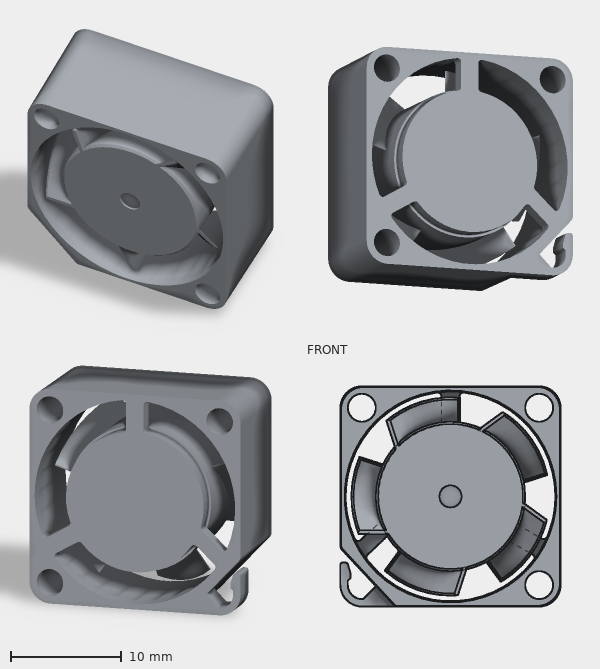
import cadquery as cq
import math

depth = 10.0
half_width = 9.95
draft_angle = 0.5
corner_radius = 2.0
cut_side_z = -4.65
cut_bottom_x = -5.0
cut_round = 0.6
hole_offset = 8.0
hole_radius = 1.25
bore_front_radius = 9.57
bore_back_radius = 9.45

base_radius = 6.5
base_thickness = 1.5
radial_strut_width = 1.65
radial_strut_angles = [90, -30]
skew_strut_width = 1.4
skew_strut_angle = 223.5
skew_strut_offset = 2.03
strut_fillet = 0.35

hook_depth = 2.55
hook_top_z = -5.95
hook_tip_width = 0.65
hook_tip_round = 0.25
hook_nose_x = -9.0
hook_nose_top_z = -6.95
hook_nose_bottom_z = -7.35
hook_floor_offset = 0.97
hook_floor_length = 1.8
hook_root_overlap = 0.06

hub_front = 0.7
hub_radius = 6.74
hub_chamfer = 0.2
dimple_radius = 1.0
dimple_depth = 0.2
blade_count = 5
blade_tip_radius = 8.95
blade_root_radius = 4.0
blade_back = 6.05
blade_thickness = 0.35
leading_angle = 108.0
leading_offset = 3.4
trailing_x = 0.87
trailing_bevel_width = 0.23
trailing_bevel_depth = 0.33
trailing_overhang = 0.22
tip_edge_middle = (-2.43, 3.28, 8.39)
tip_bevel_face = 0.2
tip_bevel_end = 0.12

base_front = depth - base_thickness
strut_end = (bore_back_radius + half_width) / 2
clearance = 1.0
diagonal = math.sqrt(0.5)


def plane_at(y):
    """Plane facing -Y at the given Y; its local axes are X and Z."""
    return cq.Workplane("XZ", origin=(0, y, 0))


def cylinder(radius, front, back):
    """Cylinder on the fan axis between two Y positions."""
    return plane_at(back).circle(radius).extrude(back - front)


def turned(body, angle):
    """Body turned about the fan axis, from +X towards +Z."""
    return body.rotate((0, 0, 0), (0, 1, 0), -angle)


def nearest(x, y, z):
    """Selector for the item whose centre lies closest to a point."""
    return cq.selectors.NearestToPointSelector((x, y, z))


def make_shell():
    """Drafted square block with one corner cut off, bored through for the rotor."""
    full_corners = [(-half_width, half_width), (half_width, half_width), (half_width, -half_width)]
    cut_corners = [(cut_bottom_x, -half_width), (-half_width, cut_side_z)]
    block = plane_at(depth).polyline(full_corners + cut_corners).close().extrude(depth, taper=draft_angle)
    for x, z in full_corners:
        block = block.edges(nearest(x, depth / 2, z)).fillet(corner_radius)
    block = block.edges(nearest(-half_width, depth / 2, cut_side_z)).fillet(cut_round)

    bore = (
        plane_at(depth)
        .circle(bore_back_radius)
        .workplane(offset=depth)
        .circle(bore_front_radius)
        .loft(ruled=True)
    )
    hole_centres = [(-hole_offset, hole_offset), (hole_offset, hole_offset), (hole_offset, -hole_offset)]
    holes = plane_at(depth).pushPoints(hole_centres).circle(hole_radius).extrude(depth)
    return block.cut(bore).cut(holes)


def make_hook():
    """Curved finger left around the fourth screw hole, at the strut face."""
    corner_centre = -half_width + corner_radius
    corner_middle = corner_centre - corner_radius * diagonal
    wall_x = -hole_offset - hole_radius
    hole_middle = -hole_offset - hole_radius * diagonal
    half_chord = math.sqrt(hole_radius**2 - hook_floor_offset**2)
    floor_x = -hole_offset + (hook_floor_offset - half_chord) * diagonal
    floor_z = -hole_offset - (hook_floor_offset + half_chord) * diagonal
    floor_rise = hook_floor_length * diagonal

    hook = (
        plane_at(depth)
        .moveTo(-half_width, hook_top_z)
        .lineTo(-half_width, corner_centre)
        .threePointArc((corner_middle, corner_middle), (corner_centre, -half_width))
        .lineTo(cut_bottom_x + hook_root_overlap, -half_width)
        .lineTo(floor_x + floor_rise, floor_z + floor_rise)
        .lineTo(floor_x, floor_z)
        .threePointArc((hole_middle, hole_middle), (wall_x, -hole_offset))
        .lineTo(wall_x, hook_nose_bottom_z + wall_x - hook_nose_x)
        .lineTo(hook_nose_x, hook_nose_bottom_z)
        .lineTo(hook_nose_x, hook_nose_top_z)
        .lineTo(-half_width + hook_tip_width, hook_top_z)
        .close()
        .extrude(hook_depth)
    )
    hook_middle = depth - hook_depth / 2
    hook = hook.edges(nearest(-half_width, hook_middle, hook_top_z)).fillet(hook_tip_round)
    return hook.edges(nearest(-half_width + hook_tip_width, hook_middle, hook_top_z)).fillet(hook_tip_round)


def make_strut(width, angle, offset=0.0):
    """Bar running outwards at an angle, its centre line shifted sideways from the fan axis."""
    strut = plane_at(depth).center(strut_end / 2, -offset).rect(strut_end, width).extrude(base_thickness)
    return turned(strut, angle)


def make_motor_base():
    """Disc behind the rotor, carried by three struts that reach into the bore wall."""
    base = cylinder(base_radius, base_front, depth)
    for angle in radial_strut_angles:
        base = base.union(make_strut(radial_strut_width, angle))
    base = base.union(make_strut(skew_strut_width, skew_strut_angle, skew_strut_offset))
    return base.intersect(cylinder(strut_end, base_front, depth))


def make_housing():
    """Shell, hook and motor base in one piece, with rounded strut roots."""
    body = make_shell().union(make_hook()).union(make_motor_base())
    base_middle = depth - base_thickness / 2
    slack = 0.01
    root_slab = cq.selectors.BoxSelector(
        (-depth, base_middle - slack, -depth),
        (depth, base_middle + slack, depth),
    )
    return body.edges(root_slab).fillet(strut_fillet)


def blade_section(angle, offset):
    """Corners of a thin straight strip parallel to the radius at the given angle.

    The offset places the strip's side that faces increasing angles.
    """
    cosine = math.cos(math.radians(angle))
    sine = math.sin(math.radians(angle))
    far = blade_tip_radius + clearance
    near_side = offset - blade_thickness
    corners = [(blade_root_radius, offset), (far, offset), (far, near_side), (blade_root_radius, near_side)]
    return [(cosine * r - sine * s, sine * r + cosine * s) for r, s in corners]


def make_blade():
    """First blade: a twisted sheet from the hub's front plane back to the trailing edge."""
    sheet_end_offset = blade_thickness - trailing_x - trailing_overhang
    sheet = (
        plane_at(blade_back)
        .polyline(blade_section(90, sheet_end_offset))
        .close()
        .workplane(offset=blade_back - hub_front)
        .polyline(blade_section(leading_angle, leading_offset))
        .close()
        .loft(ruled=True)
    )
    blade = sheet.intersect(cylinder(blade_tip_radius, hub_front, blade_back))

    clear_x = trailing_x + clearance
    bevel_front = blade_back - trailing_bevel_depth
    bevel = (
        cq.Workplane("XY")
        .moveTo(trailing_x, blade_back)
        .lineTo(trailing_x - trailing_bevel_width, bevel_front)
        .lineTo(clear_x, bevel_front)
        .lineTo(clear_x, blade_back)
        .close()
        .extrude(blade_tip_radius + clearance)
    )
    blade = blade.cut(bevel)

    return blade.edges(nearest(*tip_edge_middle)).chamfer(tip_bevel_end, tip_bevel_face)


def make_rotor():
    """Hub cup with its blades and the shallow dimple on the axis."""
    hub = cylinder(hub_radius, hub_front, base_front).faces("<Y").edges().chamfer(hub_chamfer)
    blade = make_blade()
    for i in range(blade_count):
        hub = hub.union(turned(blade, i * 360 / blade_count))
    return hub.cut(cylinder(dimple_radius, hub_front, hub_front + dimple_depth))


housing = make_housing()
rotor = make_rotor()
result = cq.Compound.makeCompound([housing.val(), rotor.val()])